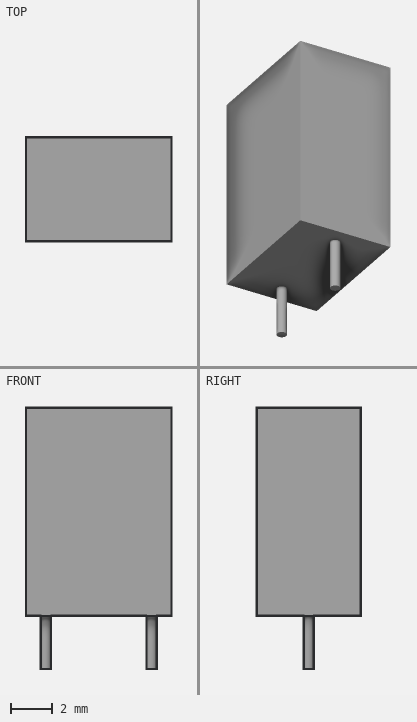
import cadquery as cq

total_height = 12.54
lead_length = 2.55
housing_width = 7.0
housing_depth = 5.0
housing_height = total_height - lead_length

lead_diameter = 0.5
lead_pitch = 5.08


def make_housing():
    """Plain rectangular block with its underside on Z = 0."""
    return cq.Workplane("XY").box(
        housing_width, housing_depth, housing_height, centered=(True, True, False)
    )


def make_lead(x_position):
    """Round lead hanging down from the underside of the housing."""
    return (
        cq.Workplane("XY")
        .center(x_position, 0)
        .circle(lead_diameter / 2)
        .extrude(-lead_length)
    )


housing = make_housing()
leads = [make_lead(side * lead_pitch / 2) for side in (-1, 1)]

result = cq.Compound.makeCompound([housing.val(), *[lead.val() for lead in leads]])